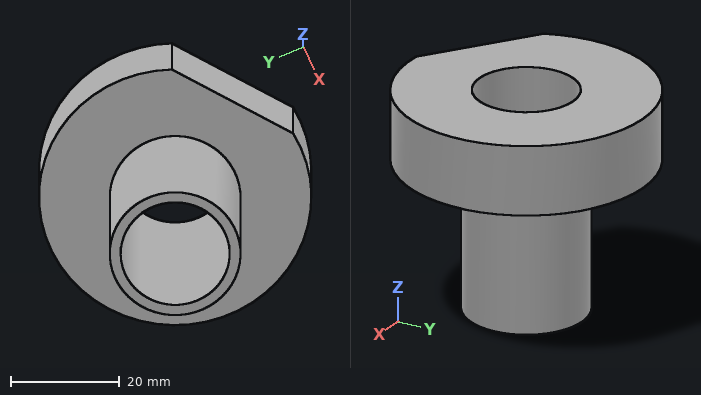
import cadquery as cq

flange_diameter = 50
flange_thickness = 14
shank_diameter = 24
shank_length = 30
bore_diameter = 20

flat_distance = 21.5
flat_tilt = 36

total_height = shank_length + flange_thickness


def make_flange():
    """Round flange with one side cut to a vertical flat."""
    disc = cq.Workplane("XY").circle(flange_diameter / 2).extrude(flange_thickness)
    cutter = (
        cq.Workplane("XY")
        .box(flange_diameter, flange_diameter, flange_thickness, centered=(True, False, False))
        .translate((0, -flat_distance - flange_diameter, 0))
        .rotate((0, 0, 0), (0, 0, 1), -flat_tilt)
    )
    return disc.cut(cutter).translate((0, 0, shank_length))


shank = cq.Workplane("XY").circle(shank_diameter / 2).extrude(shank_length)
bore = cq.Workplane("XY").circle(bore_diameter / 2).extrude(total_height)

result = shank.union(make_flange()).cut(bore)